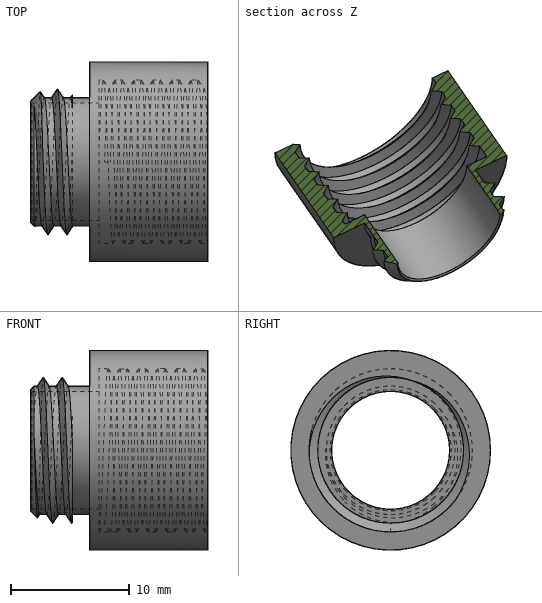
import cadquery as cq
import math

body_diameter = 16.9
overall_length = 15.0
spigot_length = 5.0
spigot_diameter = 10.87
bore_diameter = 9.95
end_chamfer = 0.3
lead_in_angle = 45.0
bore_chamfer = 0.14

socket_diameter = 13.8
socket_start = 5.78

pitch = 1.6
thread_height = 0.75
flank_angle = 33.7
root_overlap = 0.07
spigot_thread_end = 3.53
spigot_crest_x = 0.27
socket_thread_start = socket_start
socket_crest_x = 7.86


def cylinder(diameter, start, end):
    """Solid cylinder along X between two X positions."""
    return cq.Workplane("YZ", origin=(start, 0, 0)).circle(diameter / 2).extrude(end - start)


def thread_ridge(root_radius, outward, first_crest, turns):
    """Helical V ridge along X; outward is 1 for an outer thread and -1 for an inner one."""
    base_radius = root_radius - outward * root_overlap
    crest_radius = root_radius + outward * thread_height
    half_width = (thread_height + root_overlap) * math.tan(math.radians(flank_angle))
    path = cq.Wire.makeHelix(pitch, pitch * turns, root_radius)
    profile = cq.Workplane("XZ").polyline([
        (base_radius, -half_width),
        (crest_radius, 0),
        (base_radius, half_width),
    ]).close()
    ridge = profile.sweep(cq.Workplane(path), isFrenet=True)
    return ridge.rotate((0, 0, 0), (0, 1, 0), 90).translate((first_crest, 0, 0))


def spigot():
    """Threaded spigot; one lead-in cone trims both the tube and its thread."""
    core = cylinder(spigot_diameter, 0, spigot_length)
    turns_before_face = 1
    first_crest = spigot_crest_x - turns_before_face * pitch
    turns = math.ceil((spigot_thread_end - first_crest) / pitch) + 1
    ridge = thread_ridge(spigot_diameter / 2, 1, first_crest, turns)
    ridge = ridge.intersect(cylinder(body_diameter, 0, spigot_thread_end))
    face_radius = spigot_diameter / 2 - end_chamfer
    lead_in_rise = spigot_length * math.tan(math.radians(lead_in_angle))
    lead_in = (
        cq.Workplane("XY")
        .polyline([
            (0, 0),
            (0, face_radius),
            (spigot_length, face_radius + lead_in_rise),
            (spigot_length, 0),
        ])
        .close()
        .revolve(360, (0, 0, 0), (1, 0, 0))
    )
    return core.union(ridge).intersect(lead_in)


def socket_thread():
    """Inner thread, cut flat at its start and at the open end."""
    first_crest = socket_crest_x - pitch
    turns = math.ceil((overall_length - first_crest) / pitch) + 1
    ridge = thread_ridge(socket_diameter / 2, -1, first_crest, turns)
    return ridge.intersect(cylinder(body_diameter, socket_thread_start, overall_length))


body = cylinder(body_diameter, spigot_length, overall_length)
bore = cylinder(bore_diameter, 0, overall_length)
socket = cylinder(socket_diameter, socket_start, overall_length)

bore_lead_in = cq.Workplane(cq.Solid.makeCone(
    bore_diameter / 2 + bore_chamfer, bore_diameter / 2, bore_chamfer,
    pnt=cq.Vector(0, 0, 0), dir=cq.Vector(1, 0, 0),
))

result = body.union(spigot()).cut(bore).cut(bore_lead_in).cut(socket).union(socket_thread())